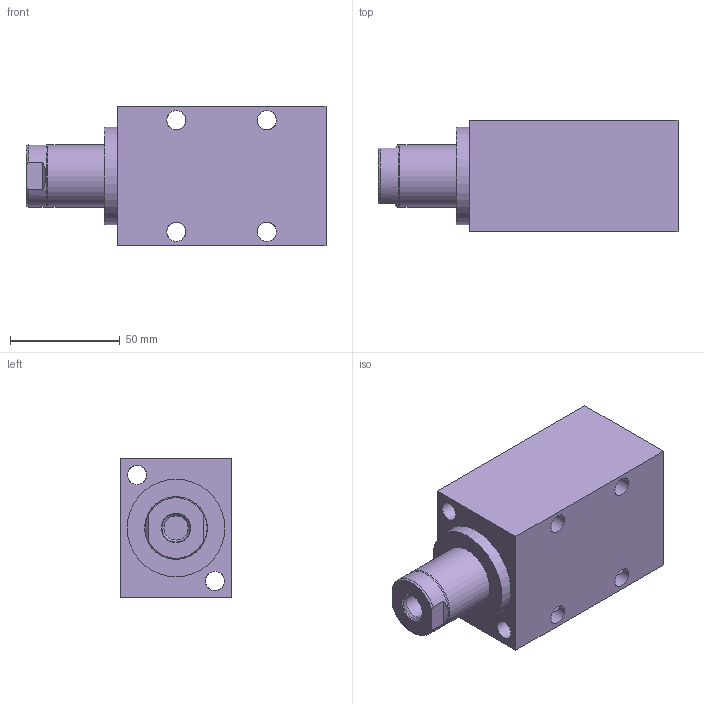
import cadquery as cq

body_length = 95.25
body_width = 50.8
body_height = 63.5

overall_length = 136.78
shaft_reach = overall_length - body_length
flange_diameter = 44.45
flange_thickness = 5.75
shaft_diameter = 28.575

nose_diameter = 28.4
nose_length = 9.2
nose_shoulder_length = 0.8
nose_chamfer_length = 1.0
nose_chamfer_depth = 0.4

flat_width = 25.4
flat_length = 7.6
flat_clearance = 1.0

bore_diameter = 11.0
bore_depth = 25.4
bore_mouth_diameter = 13.5
bore_mouth_depth = 0.65
bore_lead_in_diameter = 12.8
bore_lead_in_depth = 1.6

mount_hole_diameter = 8.8
cross_hole_spacing_x = 41.275
cross_hole_spacing_z = 50.8
cross_hole_first_x = 27.0
long_hole_spacing_y = 35.5
long_hole_spacing_z = 48.4


def make_shaft():
    """Flange, shaft and stepped nose revolved about the X axis."""
    shaft_radius = shaft_diameter / 2
    nose_radius = nose_diameter / 2
    nose_shoulder_x = nose_length - shaft_reach
    profile = (
        cq.Workplane("XY")
        .moveTo(-shaft_reach, 0)
        .lineTo(-shaft_reach, nose_radius - nose_chamfer_depth)
        .lineTo(-shaft_reach + nose_chamfer_length, nose_radius)
        .lineTo(nose_shoulder_x, nose_radius)
        .lineTo(nose_shoulder_x + nose_shoulder_length, shaft_radius)
        .lineTo(-flange_thickness, shaft_radius)
        .lineTo(-flange_thickness, flange_diameter / 2)
        .lineTo(0, flange_diameter / 2)
        .lineTo(0, 0)
        .close()
    )
    return profile.revolve(360, (0, 0, 0), (1, 0, 0))


def make_flat_cut(side):
    """Wrench flat with a 45-degree runout; side is -1 or +1 along Y."""
    flat_y = flat_width / 2
    outer_y = shaft_diameter / 2 + flat_clearance
    flat_end_x = flat_length - shaft_reach
    outline = [
        (-shaft_reach, side * flat_y),
        (flat_end_x, side * flat_y),
        (flat_end_x + outer_y - flat_y, side * outer_y),
        (-shaft_reach, side * outer_y),
    ]
    return cq.Workplane("XY").polyline(outline).close().extrude(shaft_diameter / 2, both=True)


def make_bore():
    """Blind bore in the shaft end with a mouth chamfer followed by a conical lead-in."""
    bore_radius = bore_diameter / 2
    mouth_radius = bore_mouth_diameter / 2
    lead_in_radius = bore_lead_in_diameter / 2
    profile = (
        cq.Workplane("XY")
        .moveTo(-shaft_reach, 0)
        .lineTo(-shaft_reach, mouth_radius)
        .lineTo(-shaft_reach + bore_mouth_depth, lead_in_radius)
        .lineTo(-shaft_reach + bore_lead_in_depth, bore_radius)
        .lineTo(-shaft_reach + bore_depth, bore_radius)
        .lineTo(-shaft_reach + bore_depth, 0)
        .close()
    )
    return profile.revolve(360, (0, 0, 0), (1, 0, 0))


def make_cross_holes():
    """Four through holes along Y."""
    centers = [
        (cross_hole_first_x + step * cross_hole_spacing_x, side * cross_hole_spacing_z / 2)
        for step in (0, 1)
        for side in (-1, 1)
    ]
    return (
        cq.Workplane("XZ")
        .pushPoints(centers)
        .circle(mount_hole_diameter / 2)
        .extrude(body_width / 2, both=True)
    )


def make_long_holes():
    """Two through holes along X at diagonally opposite corners of the body."""
    centers = [(side * long_hole_spacing_y / 2, side * long_hole_spacing_z / 2) for side in (-1, 1)]
    return cq.Workplane("YZ").pushPoints(centers).circle(mount_hole_diameter / 2).extrude(body_length)


body = cq.Workplane("XY").box(body_length, body_width, body_height, centered=(False, True, True))
result = body.union(make_shaft())
for flat_side in (-1, 1):
    result = result.cut(make_flat_cut(flat_side))
result = result.cut(make_bore()).cut(make_cross_holes()).cut(make_long_holes())